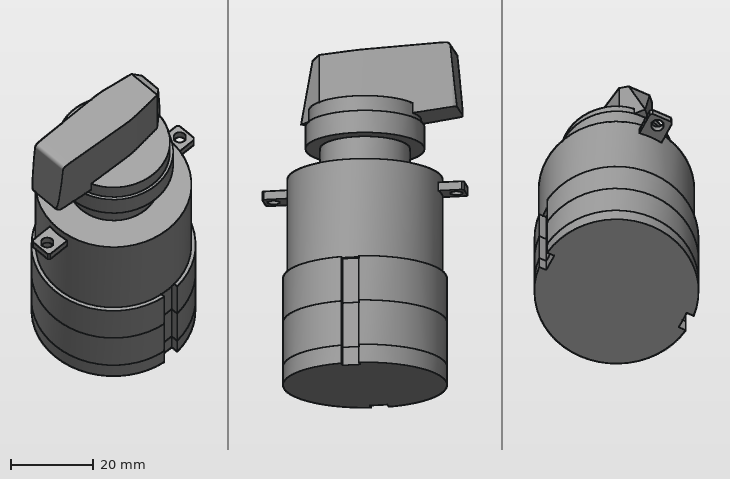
import cadquery as cq

BASE_HEIGHT = 4.6
BLOCK_HEIGHT = 11.2
BLOCK_COUNT = 2
HOUSING_HEIGHT = 24.9
NECK_HEIGHT = 7.95
COLLAR_HEIGHT = 5.6
DISC_HEIGHT = 4.0
TOTAL_HEIGHT = 84.5

BLOCK_RADIUS = 20.0
HOUSING_RADIUS = 19.0
NECK_RADIUS = 11.0
COLLAR_RADIUS = 14.5
DISC_RADIUS = 13.8

SLOT_WIDTH = 4.4
SLOT_DEPTH = 2.0

LUG_SPAN = 50.0
LUG_WIDTH = 6.0
LUG_THICKNESS = 2.1
LUG_BELOW_TOP = 2.4
LUG_HOLE_DIAMETER = 3.0
LUG_HOLE_Y = 22.65
LUG_CORNER_CHAMFER = 0.5

TIP_Y = 15.9
SHOULDER_Y = 10.6
SHOULDER_HALF_WIDTH = 4.5
BULGE_START_Y = 2.7
BULGE_END_Y = -1.4
BULGE_MIDDLE_HALF_WIDTH = 5.6
BULGE_START_HALF_WIDTH = 5.4
BULGE_END_HALF_WIDTH = 5.6
TAIL_Y = -23.6
TAIL_HALF_WIDTH = 4.8
TAIL_CORNER_RADIUS = 1.1

HANDLE_DROP = 2.5
SHOULDER_DROP = 1.4
CHAMFER_LENGTH = 1.95
CHAMFER_DROP = 1.0
TAIL_TOP_Y = -22.0
TOP_FLAT_START_Y = -19.7
TAIL_UNDERSIDE_START_Y = -12.8
TAIL_BOTTOM_RISE = 1.3
TAIL_TOP_RADIUS = 1.0

blocks_bottom = BASE_HEIGHT
housing_bottom = blocks_bottom + BLOCK_COUNT * BLOCK_HEIGHT
neck_bottom = housing_bottom + HOUSING_HEIGHT
collar_bottom = neck_bottom + NECK_HEIGHT
disc_bottom = collar_bottom + COLLAR_HEIGHT
disc_top = disc_bottom + DISC_HEIGHT
handle_bottom = disc_top - HANDLE_DROP


def cylinder(radius, height, bottom):
    """Plain round body standing on the given level."""
    return cq.Workplane("XY", origin=(0, 0, bottom)).circle(radius).extrude(height)


def slotted_disc(height, bottom):
    """Round body with one vertical slot on each X side."""
    body = cylinder(BLOCK_RADIUS, height, bottom)
    for side in (-1, 1):
        slot_center_x = side * (BLOCK_RADIUS - SLOT_DEPTH / 2)
        slot = (
            cq.Workplane("XY", origin=(slot_center_x, 0, bottom))
            .rect(SLOT_DEPTH, SLOT_WIDTH)
            .extrude(height)
        )
        body = body.cut(slot)
    return body


def make_housing():
    """Round housing with a drilled lug on each Y side."""
    lug_bottom = neck_bottom - LUG_BELOW_TOP - LUG_THICKNESS
    lugs = (
        cq.Workplane("XY", origin=(0, 0, lug_bottom))
        .rect(LUG_WIDTH, LUG_SPAN)
        .extrude(LUG_THICKNESS)
        .edges("|Z")
        .chamfer(LUG_CORNER_CHAMFER)
    )
    holes = (
        cq.Workplane("XY", origin=(0, 0, lug_bottom))
        .pushPoints([(0, -LUG_HOLE_Y), (0, LUG_HOLE_Y)])
        .circle(LUG_HOLE_DIAMETER / 2)
        .extrude(LUG_THICKNESS)
    )
    return cylinder(HOUSING_RADIUS, HOUSING_HEIGHT, housing_bottom).union(lugs.cut(holes))


def make_handle():
    """Pointed grip: its plan outline, trimmed to its side outline."""
    bulge_middle_y = (BULGE_START_Y + BULGE_END_Y) / 2
    bulge_start = (BULGE_START_HALF_WIDTH, BULGE_START_Y)
    bulge_middle = (BULGE_MIDDLE_HALF_WIDTH, bulge_middle_y)
    bulge_end = (BULGE_END_HALF_WIDTH, BULGE_END_Y)
    plan = (
        cq.Workplane("XY", origin=(0, 0, handle_bottom))
        .moveTo(0, TIP_Y)
        .lineTo(SHOULDER_HALF_WIDTH, SHOULDER_Y)
        .lineTo(*bulge_start)
        .threePointArc(bulge_middle, bulge_end)
        .lineTo(TAIL_HALF_WIDTH, TAIL_Y)
        .lineTo(0, TAIL_Y)
        .mirrorY()
        .extrude(TOTAL_HEIGHT - handle_bottom)
        .edges("|Z and <Y")
        .fillet(TAIL_CORNER_RADIUS)
    )
    shoulder_top = TOTAL_HEIGHT - SHOULDER_DROP
    side = (
        cq.Workplane("YZ")
        .moveTo(TIP_Y, handle_bottom)
        .lineTo(SHOULDER_Y + CHAMFER_LENGTH, shoulder_top - CHAMFER_DROP)
        .lineTo(SHOULDER_Y, shoulder_top)
        .lineTo(TOP_FLAT_START_Y, TOTAL_HEIGHT)
        .lineTo(TAIL_TOP_Y, TOTAL_HEIGHT)
        .lineTo(TAIL_Y, handle_bottom + TAIL_BOTTOM_RISE)
        .lineTo(TAIL_UNDERSIDE_START_Y, handle_bottom)
        .close()
        .extrude(DISC_RADIUS, both=True)
        .edges(cq.selectors.NearestToPointSelector((0, TAIL_TOP_Y, TOTAL_HEIGHT)))
        .fillet(TAIL_TOP_RADIUS)
    )
    return plan.intersect(side)


def make_knob():
    """Round disc with the grip across it."""
    return cylinder(DISC_RADIUS, DISC_HEIGHT, disc_bottom).union(make_handle())


base_plate = slotted_disc(BASE_HEIGHT, 0)
contact_blocks = [
    slotted_disc(BLOCK_HEIGHT, blocks_bottom + index * BLOCK_HEIGHT) for index in range(BLOCK_COUNT)
]
housing = make_housing()
neck = cylinder(NECK_RADIUS, NECK_HEIGHT, neck_bottom)
collar = cylinder(COLLAR_RADIUS, COLLAR_HEIGHT, collar_bottom)
knob = make_knob()

result = cq.Compound.makeCompound(
    [
        base_plate.val(),
        *[block.val() for block in contact_blocks],
        housing.val(),
        neck.val(),
        collar.val(),
        knob.val(),
    ]
)